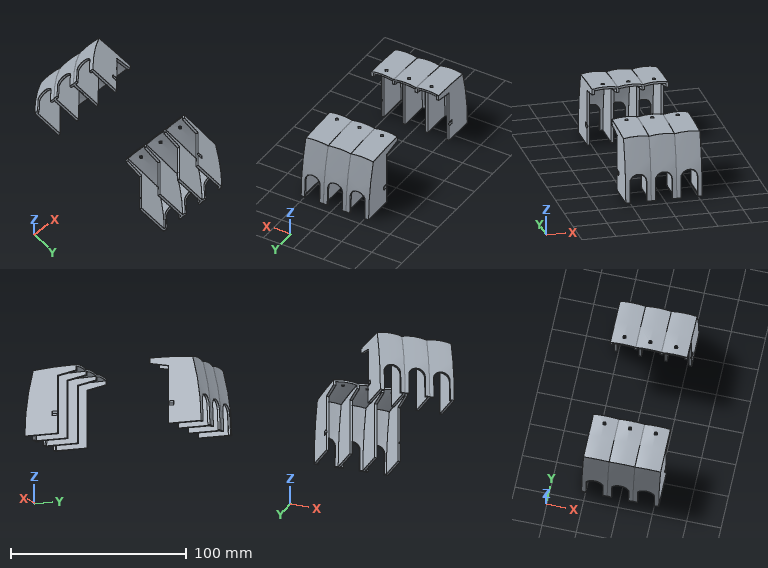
import cadquery as cq
import math

cover_width = 45.0
overall_length = 109.5
height = 40.0
bay_count = 3
outer_y = overall_length / 2
wall_inner_y = 34.3
roof_end_y = 22.7

skin = 1.3
wall = 1.5
lip_bottom = 35.8
wall_shoulder = 33.6

roof_sweep_radius = 284.7
face_sweep_radius = 141.2
roof_bulge = 0.9
face_bulge = 0.4
sweep_angle = 60.0

slot_width = 9.9
slot_top = 16.9
hole_diameter = 1.8
hole_inset = 4.7
groove_length = 3.3
groove_height = 2.5
groove_depth = 0.5
groove_z = 11.7

bay_width = cover_width / bay_count
bay_centers = [(i - (bay_count - 1) / 2) * bay_width for i in range(bay_count)]
half_bay = bay_width / 2
slot_radius = slot_width / 2
clearance = 5.5

face_arc_radius = (half_bay**2 + face_bulge**2) / (2 * face_bulge)
face_crest_y = outer_y + face_arc_radius - math.sqrt(face_arc_radius**2 - slot_radius**2)


def swept_bulge(plane, crest, bulge, sweep_radius, depth):
    """Bay-wide block with an arched outer side, swept about an X-parallel axis."""
    edge = crest - bulge
    arched_section = (
        cq.Workplane(plane)
        .moveTo(-half_bay, crest - depth)
        .lineTo(-half_bay, edge)
        .threePointArc((0, crest), (half_bay, edge))
        .lineTo(half_bay, crest - depth)
        .close()
    )
    axis = crest - sweep_radius
    block = arched_section.revolve(sweep_angle, (0, axis), (1, axis))
    block = cq.Workplane(block.val().toNURBS())
    axis_start = plane.toWorldCoords((0, axis))
    axis_end = axis_start + plane.xDir
    return block.rotate(axis_start.toTuple(), axis_end.toTuple(), -sweep_angle / 2)


def bay_envelope(inset):
    """Space under the roof and behind the outer face of the bay centred on X = 0."""
    roof_plane = cq.Plane((0, roof_end_y, 0), (1, 0, 0), (0, -1, 0))
    face_plane = cq.Plane((0, 0, 0), (1, 0, 0), (0, 0, 1))
    under_roof = swept_bulge(
        roof_plane, height - inset, roof_bulge, roof_sweep_radius - inset, height + clearance
    )
    behind_face = swept_bulge(
        face_plane, face_crest_y - inset, face_bulge, face_sweep_radius - inset, overall_length / 2
    )
    return under_roof.intersect(behind_face)


def wall_profile():
    """Side outline of the walls, extruded over one bay."""
    beyond_y = outer_y + clearance
    above_z = height + clearance
    return (
        cq.Workplane("YZ", origin=(-half_bay, 0, 0))
        .polyline([
            (wall_inner_y, 0),
            (beyond_y, 0),
            (beyond_y, above_z),
            (roof_end_y, above_z),
            (roof_end_y, lip_bottom),
            (wall_inner_y, wall_shoulder),
        ])
        .close()
        .extrude(bay_width)
    )


def make_bay(center_x, left_wall, right_wall):
    """One hollow bay with its cable slot and screw hole."""
    outer = wall_profile().intersect(bay_envelope(0))
    cavity_width = bay_width - left_wall - right_wall
    cavity_limits = (
        cq.Workplane("XY")
        .box(cavity_width, 2 * overall_length, 2 * overall_length)
        .translate(((left_wall - right_wall) / 2, 0, 0))
    )
    cavity = bay_envelope(skin).intersect(cavity_limits)
    slot_center_z = slot_top - slot_radius
    slot = (
        cq.Workplane("XZ", origin=(0, wall_inner_y, 0))
        .moveTo(-slot_radius, -clearance)
        .lineTo(-slot_radius, slot_center_z)
        .threePointArc((0, slot_top), (slot_radius, slot_center_z))
        .lineTo(slot_radius, -clearance)
        .close()
        .extrude(-overall_length / 2)
    )
    hole = (
        cq.Workplane("XY")
        .center(0, roof_end_y + hole_inset)
        .circle(hole_diameter / 2)
        .extrude(height + clearance)
    )
    return outer.cut(cavity).cut(slot).cut(hole).translate((center_x, 0, 0))


def side_groove(side):
    """V-groove at the inner edge of an end wall; side is -1 or +1 along X."""
    surface_x = side * cover_width / 2
    return (
        cq.Workplane("XZ", origin=(0, wall_inner_y, 0))
        .polyline([
            (surface_x, groove_z - groove_height / 2),
            (surface_x - side * groove_depth, groove_z),
            (surface_x, groove_z + groove_height / 2),
        ])
        .close()
        .extrude(-groove_length)
    )


def make_cover():
    """Three-bay terminal cover on the +Y side."""
    cover = None
    for i, center_x in enumerate(bay_centers):
        left_wall = wall if i == 0 else wall / 2
        right_wall = wall if i == bay_count - 1 else wall / 2
        bay = make_bay(center_x, left_wall, right_wall)
        cover = bay if cover is None else cover.union(bay)
    for side in (-1, 1):
        cover = cover.cut(side_groove(side))
    return cover


back_cover = make_cover()
front_cover = back_cover.mirror("XZ")

result = cq.Compound.makeCompound([back_cover.val(), front_cover.val()])